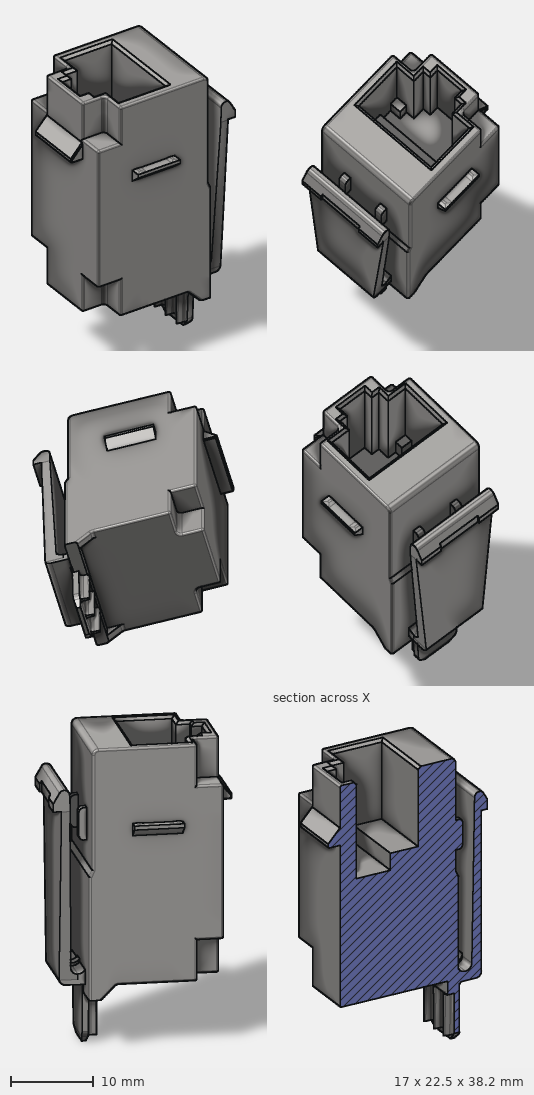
import cadquery as cq
import math


half_width = 7.3
body_height = 29.8
upper_back = 16.18
lower_back = 16.55
step_top = 14.57
step_bottom = 13.75
top_back_radius = 0.75
edge_radius = 0.285
lip_bottom = -1.85
lip_front = 15.0
lip_cheek = 1.03
slope_radius = 0.6

notch_half_gap = 3.93
notch_depth = 3.25
notch_height = 5.15
notch_corner_radius = 0.55

cavity_back = 10.87
cavity_steps = [(5.9, 4.0), (3.13, 2.33), (2.0, 1.03)]
mouth_chamfer = 0.4
cavity_depth = 12.97
shelf_depth = 10.7
shelf_front = 7.02
block_width = 1.55
block_length = 1.15

fin_reach = 1.22
fin_front = 5.05
fin_back = 11.18
fin_top = 20.22
fin_edge = 0.5
fin_root = 1.53
ridge_height = 0.057
ridge_width = 1.25
ridge_crest = 0.25

catch_half_width = 3.95
catch_reach = 1.65
catch_top = 24.15
catch_nose_top = 22.35
catch_bottom = 21.75
catch_bevel = 0.15

bump_inner = 2.45
bump_outer = 3.47
bump_back = 17.13
bump_bottom = 17.35
bump_top = 21.4
bump_radius = 0.55

latch_back = 19.75
arm_top = 21.82
arm_tip_front = 18.75
arm_root_front = 18.35
arm_root_height = 1.7
foot_top = 0.85
foot_bottom = -0.5
foot_half_width = 4.55
foot_radius = 0.8
hook_floor_back = 17.47
foot_ramp_height = 0.5
taper_start = 0.2
head_half_width = 6.18
head_back = 20.8
head_lip_height = 1.0
head_height = 2.67
head_radius = 0.7
relief_half_width = 3.05
relief_depth = 0.23
web_half_width = 0.72
web_height = 0.35

tongue_back = 16.67
tongue_front = 15.87
tongue_bottom = -8.35
tongue_corner = -7.25
tongue_corner_radius = 1.15
tongue_bevel_top = -7.55
tongue_top_half = 3.3
tongue_corner_half = 3.05
tongue_tip_half = 1.95
tip_thinning = 0.15
tongue_brace = 0.25
rib_front = 14.75
rib_neck = 15.53
rib_bottom = -7.48
rib_spacing = 2.35
rib_upper_widths = (0.55, 0.23, 0.2)
rib_lower_widths = (0.3, 0.15, 0.1)
root_bulge = 0.3


def slab(profile, half):
    """Extrude a closed YZ profile symmetrically about X = 0."""
    return profile.extrude(half, both=True)


def box(x0, x1, y0, y1, z0, z1):
    return cq.Workplane("XY").box(x1 - x0, y1 - y0, z1 - z0, centered=False).translate((x0, y0, z0))


def both_sides(solid):
    return solid.union(solid.mirror("YZ"))


def make_housing():
    slope_foot = lip_front + lip_bottom
    profile = (
        cq.Workplane("YZ")
        .polyline([
            (0, 0), (slope_foot, 0), (lip_front, lip_bottom), (lower_back, lip_bottom),
            (lower_back, step_bottom), (upper_back, step_top), (upper_back, body_height), (0, body_height),
        ])
        .close()
    )
    body = slab(profile, half_width)
    body = body.edges(cq.NearestToPointSelector((0, upper_back, body_height))).fillet(top_back_radius)
    body = body.edges(cq.NearestToPointSelector((0, slope_foot, 0))).fillet(slope_radius)

    for bottom in (0, body_height - notch_height):
        notch = box(notch_half_gap, half_width, 0, notch_depth, bottom, bottom + notch_height)
        body = body.cut(both_sides(notch))
    for x in (-notch_half_gap, notch_half_gap):
        for z in (notch_height / 2, body_height - notch_height / 2):
            corner = cq.NearestToPointSelector((x, notch_depth, z))
            body = body.edges(corner).fillet(notch_corner_radius)

    body = round_outer_edges(body)

    inner = half_width - lip_cheek
    return body.cut(box(-inner, inner, slope_foot - slope_radius, lip_front, lip_bottom, 0))


def round_outer_edges(body):
    """Round the rims of the side, front, top and bottom faces."""
    rims = []
    for selector in ("<X", ">X", "<Y", ">Z"):
        rims += body.faces(selector).edges().vals()
    rims += body.faces(cq.NearestToPointSelector((0, lip_front / 2, 0))).edges().vals()
    chosen = []
    for edge in rims:
        middle = edge.Center()
        runs_into_curve = middle.y > lip_front / 2 and abs(middle.x) < half_width / 2
        on_lip_end = middle.z < lip_bottom + edge_radius / 2
        if runs_into_curve or on_lip_end:
            continue
        if not any(edge.isSame(other) for other in chosen):
            chosen.append(edge)
    return body.newObject(chosen).fillet(edge_radius)


def cavity_outline(z, grow):
    right = []
    back = cavity_back + grow
    for half, front in cavity_steps:
        right += [(half + grow, back), (half + grow, front - grow)]
        back = front - grow
    left = [(-x, y) for x, y in reversed(right)]
    return cq.Workplane("XY").workplane(offset=z).polyline(right + left).close()


def make_cavity():
    floor = body_height - cavity_depth
    shelf = body_height - shelf_depth
    cavity = cavity_outline(floor, 0).extrude(cavity_depth)
    half, front = cavity_steps[0]
    cavity = cavity.cut(box(-half, half, shelf_front, cavity_back, floor, shelf))
    block = box(half - block_width, half, front, front + block_length, floor, shelf)
    cavity = cavity.cut(both_sides(block))

    bottom = cavity_outline(body_height - mouth_chamfer, 0).wires().val()
    top = cavity_outline(body_height, mouth_chamfer).wires().val()
    return cavity.union(cq.Workplane(cq.Solid.makeLoft([bottom, top], True)))


def make_fins():
    outer = half_width + fin_reach
    profile = [
        (half_width - edge_radius, fin_top), (outer, fin_top), (outer, fin_top - fin_edge),
        (half_width, fin_top - fin_root), (half_width - edge_radius, fin_top - fin_root),
    ]
    fin = cq.Workplane("XZ").polyline(profile).close().extrude(fin_front - fin_back)
    fin = fin.translate((0, fin_front, 0))
    inset = (ridge_width - ridge_crest) / 2
    for y in (fin_front + ridge_width / 2, fin_back - ridge_width / 2):
        ridge = (
            cq.Workplane("XY").workplane(offset=fin_top).center(half_width, y)
            .rect(2 * fin_reach, ridge_width)
            .workplane(offset=ridge_height)
            .rect(2 * (fin_reach - inset), ridge_crest)
            .loft(ruled=True)
        )
        fin = fin.union(ridge)
    return both_sides(fin)


def make_catch():
    profile = (
        cq.Workplane("YZ")
        .polyline([
            (edge_radius, catch_top), (0, catch_top), (-catch_reach, catch_nose_top),
            (-catch_reach, catch_bottom + catch_bevel), (catch_bevel - catch_reach, catch_bottom),
            (edge_radius, catch_bottom),
        ])
        .close()
    )
    catch = slab(profile, catch_half_width)
    return catch.faces("<X or >X").edges("not >Y").chamfer(catch_bevel)


def make_bumps():
    bump = box(bump_inner, bump_outer, upper_back - edge_radius, bump_back, bump_bottom, bump_top)
    return both_sides(bump.edges("|X and >Y").fillet(bump_radius))


crest_centre = arm_top + head_height - head_radius
arm_slope = (arm_tip_front - arm_root_front) / (crest_centre - arm_root_height)
arm_front = arm_root_front + arm_slope * (arm_top - arm_root_height)


def hook_curve(sketch, lift):
    """Run down the inner side of the hook and along its floor to the housing."""
    floor = foot_top + lift
    bend = arm_root_front - hook_floor_back
    diagonal = bend * (1 - math.sqrt(0.5))
    return (
        sketch.lineTo(arm_root_front, arm_root_height + lift)
        .threePointArc((arm_root_front - diagonal, floor + diagonal), (hook_floor_back, floor))
        .tangentArcPoint((lower_back, floor + foot_ramp_height), relative=False)
        .lineTo(lower_back - edge_radius, floor + foot_ramp_height)
    )


def make_latch():
    sketch = cq.Workplane("YZ").moveTo(latch_back, arm_top).lineTo(arm_front, arm_top)
    arm = hook_curve(sketch, 0).lineTo(lower_back - edge_radius, foot_bottom)
    arm = slab(arm.lineTo(latch_back, foot_bottom).close(), head_half_width)
    arm = arm.edges(cq.NearestToPointSelector((0, latch_back, foot_bottom))).fillet(foot_radius)
    taper = (
        cq.Workplane("XZ")
        .polyline([
            (-foot_half_width, foot_bottom), (foot_half_width, foot_bottom), (foot_half_width, taper_start),
            (head_half_width, arm_top), (-head_half_width, arm_top), (-foot_half_width, taper_start),
        ])
        .close()
        .extrude(-latch_back)
    )
    foot = box(-foot_half_width, foot_half_width, 0, hook_floor_back, foot_bottom, arm_top)
    taper = taper.cut(box(-head_half_width, head_half_width, 0, hook_floor_back, foot_bottom, arm_top))
    arm = arm.intersect(taper.union(foot))

    web_back = latch_back - foot_radius
    web = hook_curve(cq.Workplane("YZ").moveTo(web_back, arm_root_height + web_height), web_height)
    web = web.lineTo(lower_back - edge_radius, foot_bottom).lineTo(web_back, foot_bottom).close()
    return arm.union(slab(web, web_half_width)).union(make_latch_head())


def make_latch_head():
    crest = arm_top + head_height
    centre_y = arm_tip_front + head_radius
    lip_top = arm_top + head_lip_height
    rise = crest_centre - lip_top
    run = head_back - centre_y
    tangent = math.acos(head_radius / math.hypot(run, rise)) - math.atan2(rise, run)
    touch = (centre_y + head_radius * math.cos(tangent), crest_centre + head_radius * math.sin(tangent))
    profile = (
        cq.Workplane("YZ")
        .moveTo(arm_front, arm_top)
        .lineTo(arm_tip_front, crest_centre)
        .tangentArcPoint((centre_y, crest), relative=False)
        .tangentArcPoint(touch, relative=False)
        .lineTo(head_back, lip_top)
        .lineTo(head_back, arm_top)
        .close()
    )
    head = slab(profile, head_half_width)
    relief = box(-relief_half_width, relief_half_width, head_back - relief_depth, head_back, arm_top, crest)
    return head.cut(relief)


def make_tongue():
    side = [
        (tongue_top_half, foot_bottom), (tongue_top_half, lip_bottom),
        (tongue_corner_half, tongue_corner), (tongue_tip_half, tongue_bottom),
    ]
    outline = side + [(-x, z) for x, z in reversed(side)]
    plate = cq.Workplane("XZ").polyline(outline).close().extrude(-tongue_back - tongue_brace)
    for x in (-tongue_corner_half, tongue_corner_half):
        corner = cq.NearestToPointSelector((x, tongue_back / 2, tongue_corner))
        plate = plate.edges(corner).fillet(tongue_corner_radius)
    thickness = (
        cq.Workplane("YZ")
        .polyline([
            (tongue_back + tongue_brace, foot_bottom), (tongue_back, foot_bottom - tongue_brace),
            (tongue_back, tongue_bevel_top), (tongue_back - tip_thinning, tongue_bottom),
            (tongue_front + tip_thinning, tongue_bottom), (tongue_front, tongue_bevel_top),
            (tongue_front, foot_bottom),
        ])
        .close()
    )
    return plate.intersect(slab(thickness, tongue_top_half))


def rib_section(x, z, root, neck, crest):
    """Rib cross-section at height z: rounded crest, steep sides, curved root."""
    bend_x = neck + root_bulge * (root - neck)
    bend_y = tongue_front - root_bulge * (tongue_front - rib_neck)
    return (
        cq.Workplane("XY").workplane(offset=z).center(x, 0)
        .moveTo(-root, tongue_front)
        .threePointArc((-bend_x, bend_y), (-neck, rib_neck))
        .lineTo(-crest, rib_front + crest)
        .threePointArc((0, rib_front), (crest, rib_front + crest))
        .lineTo(neck, rib_neck)
        .threePointArc((bend_x, bend_y), (root, tongue_front))
        .close()
        .wires().val()
    )


def make_rib(x):
    wide = rib_section(x, lip_bottom, *rib_upper_widths)
    narrow = rib_section(x, rib_bottom, *rib_lower_widths)
    return cq.Workplane(cq.Solid.makeLoft([wide, narrow], True))


result = make_housing().cut(make_cavity())
for feature in (make_fins(), make_catch(), make_bumps(), make_latch(), make_tongue()):
    result = result.union(feature)
for rib_x in (-rib_spacing, 0, rib_spacing):
    result = result.union(make_rib(rib_x))